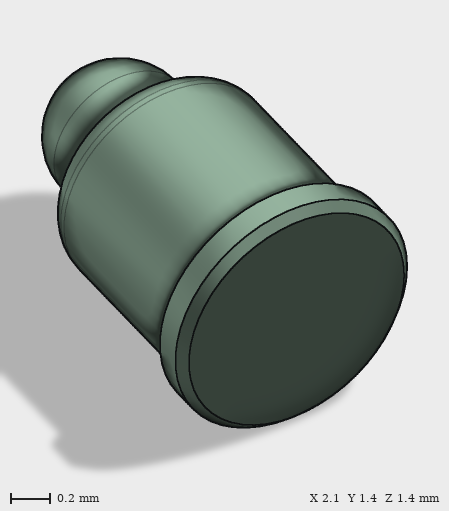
import math

import cadquery as cq

total_length = 2.1
flange_radius = 0.7004
flange_length = 0.2
flange_chamfer = 0.05
barrel_radius = 0.624
barrel_length = 1.25
shoulder_length = 0.202
shoulder_taper_length = 0.038
plunger_radius = 0.401

rear_x = total_length / 2
tip_x = -total_length / 2
dome_end_x = tip_x + plunger_radius
flange_x = rear_x - flange_length
barrel_x = flange_x - barrel_length
shoulder_end_x = barrel_x + shoulder_length
shoulder_center_radius = barrel_radius - shoulder_length


def point_on_arc(center_x, center_radius, arc_radius, angle):
    """Point on a profile arc, with the angle measured from the -X direction."""
    x = center_x - arc_radius * math.cos(angle)
    return (x, center_radius + arc_radius * math.sin(angle))


taper_angle = math.asin(shoulder_taper_length / shoulder_length)
arc_end_angle = math.pi / 2 - taper_angle
shoulder_arc_end = point_on_arc(
    shoulder_end_x, shoulder_center_radius, shoulder_length, arc_end_angle
)
shoulder_arc_middle = point_on_arc(
    shoulder_end_x, shoulder_center_radius, shoulder_length, arc_end_angle / 2
)
dome_middle = point_on_arc(dome_end_x, 0, plunger_radius, math.pi / 4)

profile = (
    cq.Workplane("XY")
    .moveTo(tip_x, 0)
    .threePointArc(dome_middle, (dome_end_x, plunger_radius))
    .lineTo(barrel_x, plunger_radius)
    .lineTo(barrel_x, shoulder_center_radius)
    .threePointArc(shoulder_arc_middle, shoulder_arc_end)
    .lineTo(shoulder_end_x, barrel_radius)
    .lineTo(flange_x, barrel_radius)
    .lineTo(flange_x, flange_radius)
    .lineTo(rear_x - flange_chamfer, flange_radius)
    .lineTo(rear_x, flange_radius - flange_chamfer)
    .lineTo(rear_x, 0)
    .close()
)

result = profile.revolve(360, (0, 0, 0), (1, 0, 0))